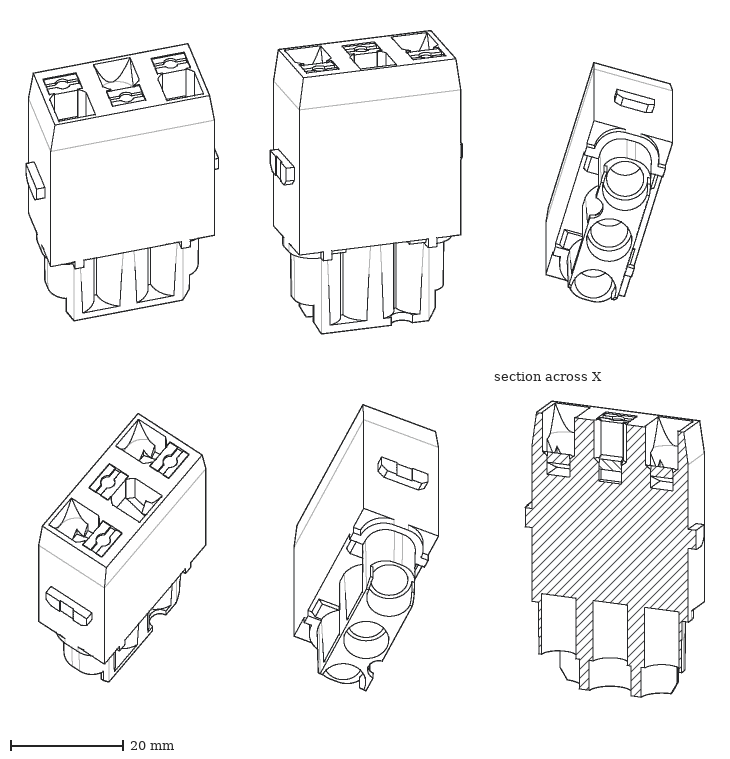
import cadquery as cq
import math

TOTAL_HEIGHT = 50.75
POLE_PITCH = 10.0

BLOCK_X = 14.6
BLOCK_Y = 30.3
BLOCK_BOTTOM = 16.9
TAPER_START = 44.75
TOP_X = 14.2
TOP_Y = 28.6

OVERALL_Y = 33.4
TAB_BOTTOM = 29.05
TAB_TOP = 32.7
TAB_CHAMFER = 1.15
FRONT_TAB_X = 7.0
REAR_TAB_X = 9.05
TAB_GROOVE_X = 2.95
TAB_GROOVE_DEPTH = 0.2

FOOT_BOTTOM = 15.2
FOOT_X = 11.75
FOOT_INNER_Y = 9.05
FOOT_CORNER = 4.45
TOOTH_OUTER_Y = 10.65
RAMP_INNER_Y = 6.0
RAMP_HEIGHT = 1.15
RAMP_OVERHANG = 0.65

SKIRT_X = 9.4
SKIRT_Y = 27.95
SKIRT_CORNER = 3.9
SKIRT_DRAFT = 0.7
SLEEVE_END = 5.6
LEG_END_Y = 11.35
LEG_BOTTOM_Y = 10.05
LEG_SLOPE_HEIGHT = 2.3
SLEEVE_RADIUS = 4.75
RECESS_FLOOR = 1.5
WEB_THICKNESS = 1.0
BORE_RADIUS = 3.3
BORE_MOUTH_RADIUS = 4.0
KEY_RADIUS = 2.0

ENTRY_INNER_X = 0.9
ENTRY_OUTER_X = 6.35
ENTRY_Y = 6.75
ENTRY_DEPTH = 5.1
ENTRY_ROUND_RADIUS = 4.1
ENTRY_ROUND_DEPTH = 7.1
FUNNEL_END_RADIUS = 1.4
FUNNEL_DEPTH = 5.1

BUTTON_X = 4.2
BUTTON_Y = 6.1
BUTTON_SINK = 0.25
BUTTON_LENGTH = 20.3
SLOT_CENTER_X = -3.2
SLOT_WIDTH = 1.15
SLOT_EYE_RADIUS = 1.25
SLOT_DEPTH = 0.5

SPRING_X = 5.2
SPRING_Y = 4.3
SPRING_TOP = 44.15
SPRING_SLOPE = 27.0
SPRING_THICKNESS = 2.05

POLES = [(-POLE_PITCH, 1), (0.0, -1), (POLE_PITCH, 1)]
ENTRY_CENTER_X = (ENTRY_OUTER_X - ENTRY_INNER_X) / 2
ENTRY_RADIUS = (ENTRY_OUTER_X + ENTRY_INNER_X) / 2
ENTRY_CORNER_RADIUS = math.hypot(ENTRY_RADIUS, ENTRY_Y / 2)
FUNNEL_TOP = TOTAL_HEIGHT - ENTRY_DEPTH
FUNNEL_BOTTOM = FUNNEL_TOP - FUNNEL_DEPTH
ENTRY_ROUND_BOTTOM = TOTAL_HEIGHT - ENTRY_ROUND_DEPTH
BUTTON_CENTER_X = -ENTRY_INNER_X - BUTTON_X / 2
BUTTON_TOP = TOTAL_HEIGHT - BUTTON_SINK
BUTTON_BOTTOM = BUTTON_TOP - BUTTON_LENGTH
SPRING_DROP = SPRING_X * math.tan(math.radians(SPRING_SLOPE))
SPRING_BOTTOM = SPRING_TOP - SPRING_DROP - SPRING_THICKNESS


def box(x_range, y_range, z_range):
    """Box between two limits along each axis."""
    size = [high - low for low, high in (x_range, y_range, z_range)]
    corner = (x_range[0], y_range[0], z_range[0])
    return cq.Workplane("XY").box(*size, centered=False).translate(corner)


def cylinder(x, y, radius, z_range):
    """Upright cylinder between two heights."""
    low, high = z_range
    return cq.Workplane("XY", origin=(x, y, low)).circle(radius).extrude(high - low)


def place_at_pole(shape, y, side):
    """Move a shape made for a +X wire entry to its pole, half a turn round where needed."""
    if side < 0:
        shape = shape.rotate((0, 0, 0), (0, 0, 1), 180)
    return shape.translate((0, y, 0))


def main_block():
    """Upright block whose upper end narrows on all four sides."""
    block = box(
        (-BLOCK_X / 2, BLOCK_X / 2), (-BLOCK_Y / 2, BLOCK_Y / 2), (BLOCK_BOTTOM, TAPER_START)
    )
    narrowing = (
        cq.Workplane("XY", origin=(0, 0, TAPER_START))
        .rect(BLOCK_X, BLOCK_Y)
        .workplane(offset=TOTAL_HEIGHT - TAPER_START)
        .rect(TOP_X, TOP_Y)
        .loft(ruled=True)
    )
    return block.union(narrowing)


def end_tab(width, end):
    """Latch tab on one end of the block, its lower corners chamfered; `end` is -1 or 1."""
    y_limits = sorted((end * BLOCK_Y / 2, end * OVERALL_Y / 2))
    tab = box((-width / 2, width / 2), y_limits, (TAB_BOTTOM, TAB_TOP))
    return tab.edges("|Y and <Z").chamfer(TAB_CHAMFER)


def tab_groove():
    """Shallow groove down the middle of the rear tab."""
    outer = OVERALL_Y / 2
    half = TAB_GROOVE_X / 2
    return box((-half, half), (outer - TAB_GROOVE_DEPTH, outer), (TAB_BOTTOM, TAB_TOP))


def foot():
    """Foot under the +Y end: a pad with rounded outer corners and a tooth on each side."""
    heights = (FOOT_BOTTOM, BLOCK_BOTTOM)
    pad = box((-FOOT_X / 2, FOOT_X / 2), (FOOT_INNER_Y, BLOCK_Y / 2), heights)
    pad = pad.edges("|Z and >Y").fillet(FOOT_CORNER)
    teeth = box((-BLOCK_X / 2, BLOCK_X / 2), (FOOT_INNER_Y, TOOTH_OUTER_Y), heights)
    return pad.union(teeth)


def ramp():
    """Ridge next to the +Y foot, its two sides leaning out towards the block."""
    lower_half = FOOT_X / 2
    upper_half = lower_half + RAMP_OVERHANG
    return (
        cq.Workplane("XZ", origin=(0, FOOT_INNER_Y, 0))
        .moveTo(-upper_half, BLOCK_BOTTOM)
        .lineTo(upper_half, BLOCK_BOTTOM)
        .lineTo(lower_half, BLOCK_BOTTOM - RAMP_HEIGHT)
        .lineTo(-lower_half, BLOCK_BOTTOM - RAMP_HEIGHT)
        .close()
        .extrude(FOOT_INNER_Y - RAMP_INNER_Y)
    )


def skirt():
    """Drafted plug skirt, stepped back and sloped at the lower ends."""
    body = (
        cq.Workplane("XY", origin=(0, 0, BLOCK_BOTTOM))
        .sketch()
        .rect(SKIRT_X, SKIRT_Y)
        .vertices()
        .fillet(SKIRT_CORNER)
        .finalize()
        .extrude(-BLOCK_BOTTOM, taper=SKIRT_DRAFT)
    )
    profile = (
        cq.Workplane("YZ", origin=(-SKIRT_X / 2, 0, 0))
        .moveTo(0, 0)
        .lineTo(LEG_BOTTOM_Y, 0)
        .lineTo(LEG_END_Y, LEG_SLOPE_HEIGHT)
        .lineTo(LEG_END_Y, SLEEVE_END)
        .lineTo(SKIRT_Y / 2, SLEEVE_END)
        .lineTo(SKIRT_Y / 2, BLOCK_BOTTOM)
        .lineTo(0, BLOCK_BOTTOM)
        .mirrorY()
        .extrude(SKIRT_X)
    )
    return body.intersect(profile)


def skirt_recesses():
    """Hollows on both sides of the skirt between neighbouring sleeves, split by a thin web."""
    heights = (RECESS_FLOOR, BLOCK_BOTTOM)
    half_x = SKIRT_X / 2
    hollow = box((-half_x, half_x), (-POLE_PITCH, POLE_PITCH), heights)
    web = box((-WEB_THICKNESS / 2, WEB_THICKNESS / 2), (-POLE_PITCH, POLE_PITCH), heights)
    hollow = hollow.cut(web)
    for y, _ in POLES:
        hollow = hollow.cut(cylinder(0, y, SLEEVE_RADIUS, heights))
    return hollow


def contact_bore(y):
    """Bore from below into a sleeve, wider at its mouth."""
    mouth = cylinder(0, y, BORE_MOUTH_RADIUS, (0, SLEEVE_END))
    return mouth.union(cylinder(0, y, BORE_RADIUS, (0, BLOCK_BOTTOM)))


def half_round(outline, side):
    """Half turn of (radius, height) points about the entry axis, on the +X or -X side of it."""
    points = [(-side * radius, height) for radius, height in outline]
    return (
        cq.Workplane("YZ", origin=(ENTRY_CENTER_X, 0, 0))
        .polyline(points)
        .close()
        .revolve(180, (0, 0), (0, 1))
    )


def wire_entry():
    """Square-sided mouth above a round funnel.

    On the outer half a cone blends the mouth corners into the funnel.
    On the half beside the button the mouth corners are rounded instead.
    """
    walls = box(
        (-ENTRY_INNER_X, ENTRY_OUTER_X), (-ENTRY_Y / 2, ENTRY_Y / 2), (FUNNEL_BOTTOM, TOTAL_HEIGHT)
    )
    outer_half = [
        (0, FUNNEL_BOTTOM),
        (FUNNEL_END_RADIUS, FUNNEL_BOTTOM),
        (ENTRY_RADIUS, FUNNEL_TOP),
        (ENTRY_CORNER_RADIUS, TOTAL_HEIGHT),
        (0, TOTAL_HEIGHT),
    ]
    button_half = [
        (0, FUNNEL_BOTTOM),
        (FUNNEL_END_RADIUS, FUNNEL_BOTTOM),
        (ENTRY_ROUND_RADIUS, ENTRY_ROUND_BOTTOM),
        (ENTRY_ROUND_RADIUS, TOTAL_HEIGHT),
        (0, TOTAL_HEIGHT),
    ]
    return half_round(outer_half, 1).union(half_round(button_half, -1)).intersect(walls)


def button_pocket():
    """Opening for a button, reaching the top of the block."""
    return button_block(TOTAL_HEIGHT)


def spring_shaft():
    """Upright shaft that holds the clamp spring and opens into the funnel."""
    x_limits = (-ENTRY_INNER_X, SPRING_X - ENTRY_INNER_X)
    return box(x_limits, (-SPRING_Y / 2, SPRING_Y / 2), (SPRING_BOTTOM, TOTAL_HEIGHT))


def make_housing():
    """Block, skirt, feet and tabs joined, with the openings of every pole cut out."""
    body = main_block().union(skirt())
    body = body.cut(skirt_recesses())
    for shape in (foot(), ramp()):
        body = body.union(shape).union(shape.mirror("XZ"))
    body = body.union(end_tab(FRONT_TAB_X, -1)).union(end_tab(REAR_TAB_X, 1))
    body = body.cut(tab_groove())
    body = body.cut(cylinder(-SKIRT_X / 2, -POLE_PITCH / 2, KEY_RADIUS, (0, RECESS_FLOOR)))
    for y, side in POLES:
        body = body.cut(contact_bore(y))
        for opening in (wire_entry(), button_pocket(), spring_shaft()):
            body = body.cut(place_at_pole(opening, y, side))
    return body


def button_block(top):
    """Plain block of a button's outline, from the button's lower end up to `top`."""
    x_limits = (BUTTON_CENTER_X - BUTTON_X / 2, BUTTON_CENTER_X + BUTTON_X / 2)
    return box(x_limits, (-BUTTON_Y / 2, BUTTON_Y / 2), (BUTTON_BOTTOM, top))


def make_button():
    """Button with a screwdriver slot that has a round eye in the middle."""
    heights = (BUTTON_TOP - SLOT_DEPTH, BUTTON_TOP)
    slot_x = (SLOT_CENTER_X - SLOT_WIDTH / 2, SLOT_CENTER_X + SLOT_WIDTH / 2)
    slot = box(slot_x, (-BUTTON_Y / 2, BUTTON_Y / 2), heights)
    eye = cylinder(SLOT_CENTER_X, 0, SLOT_EYE_RADIUS, heights)
    return button_block(BUTTON_TOP).cut(slot).cut(eye)


def make_spring():
    """Flat spring that slopes down from the button side across the wire path."""
    near_x = -ENTRY_INNER_X
    far_x = near_x + SPRING_X
    far_top = SPRING_TOP - SPRING_DROP
    return (
        cq.Workplane("XZ", origin=(0, SPRING_Y / 2, 0))
        .moveTo(near_x, SPRING_TOP)
        .lineTo(far_x, far_top)
        .lineTo(far_x, far_top - SPRING_THICKNESS)
        .lineTo(near_x, SPRING_TOP - SPRING_THICKNESS)
        .close()
        .extrude(SPRING_Y)
    )


housing = make_housing()
buttons = [place_at_pole(make_button(), y, side) for y, side in POLES]
springs = [place_at_pole(make_spring(), y, side) for y, side in POLES]

result = cq.Compound.makeCompound([housing.val(), *[part.val() for part in buttons + springs]])